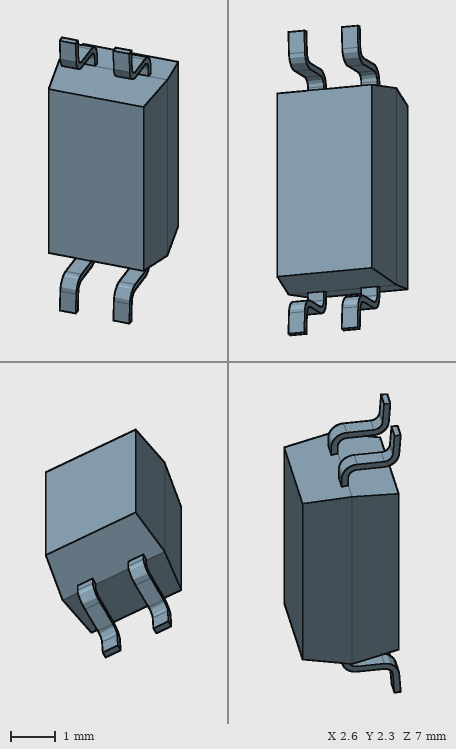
import cadquery as cq
import math

overall_depth = 2.3
overall_height = 7.0

housing_width = 2.6
housing_depth = 2.2
housing_height = 4.55
draft_angle = 8.0

lead_width = 0.385
lead_thickness = 0.15
lead_pitch = 1.29
inner_bend_radius = 0.2
arm_top_z = 2.82
toe_tilt = 4.0

half_depth = housing_depth / 2
draft_slope = math.tan(math.radians(draft_angle))
outer_bend_radius = inner_bend_radius + lead_thickness
arm_bottom_z = arm_top_z - lead_thickness
tilt = math.radians(toe_tilt)


def make_housing():
    """Two drafted halves joined at the parting plane, where the housing is largest."""
    parting = cq.Workplane("XZ").rect(housing_width, housing_height)
    front_half = parting.extrude(half_depth, taper=draft_angle)
    back_half = front_half.mirror("XZ")
    return front_half.union(back_half)


def on_circle(center, radius, angle):
    """Point at an angle (radians, from +Y toward +Z) on a circle in the YZ plane."""
    return center[0] + radius * math.cos(angle), center[1] + radius * math.sin(angle)


def make_upper_lead(x_center):
    """S-shaped strip that rises from the top of the housing, runs to -Y and turns up again."""
    root_front = (0, housing_height / 2)
    root_back = (lead_thickness, housing_height / 2 - lead_thickness * draft_slope)

    root_bend = (-inner_bend_radius, arm_top_z - outer_bend_radius)
    quarter = math.pi / 2
    root_mid = quarter / 2

    tip_back_z = overall_height / 2
    tip_front_z = tip_back_z - lead_thickness * math.sin(tilt)
    tip_front_y = half_depth - overall_depth
    tip_back_y = tip_front_y + lead_thickness * math.cos(tilt)

    toe_start = math.pi + tilt
    toe_end = 3 * quarter
    toe_mid = (toe_start + toe_end) / 2
    toe_bend_z = arm_bottom_z + outer_bend_radius
    toe_front_z = toe_bend_z - outer_bend_radius * math.sin(tilt)
    toe_front_y = tip_front_y + (tip_front_z - toe_front_z) * math.tan(tilt)
    toe_bend = (toe_front_y + outer_bend_radius * math.cos(tilt), toe_bend_z)

    profile = (
        cq.Workplane("YZ", origin=(x_center - lead_width / 2, 0, 0))
        .moveTo(*root_front)
        .lineTo(*on_circle(root_bend, inner_bend_radius, 0))
        .threePointArc(
            on_circle(root_bend, inner_bend_radius, root_mid),
            on_circle(root_bend, inner_bend_radius, quarter),
        )
        .lineTo(*on_circle(toe_bend, outer_bend_radius, toe_end))
        .threePointArc(
            on_circle(toe_bend, outer_bend_radius, toe_mid),
            on_circle(toe_bend, outer_bend_radius, toe_start),
        )
        .lineTo(tip_front_y, tip_front_z)
        .lineTo(tip_back_y, tip_back_z)
        .lineTo(*on_circle(toe_bend, inner_bend_radius, toe_start))
        .threePointArc(
            on_circle(toe_bend, inner_bend_radius, toe_mid),
            on_circle(toe_bend, inner_bend_radius, toe_end),
        )
        .lineTo(*on_circle(root_bend, outer_bend_radius, quarter))
        .threePointArc(
            on_circle(root_bend, outer_bend_radius, root_mid),
            on_circle(root_bend, outer_bend_radius, 0),
        )
        .lineTo(*root_back)
        .close()
    )
    return profile.extrude(lead_width)


housing = make_housing()

leads = []
for x_center in (-lead_pitch / 2, lead_pitch / 2):
    upper_lead = make_upper_lead(x_center)
    lower_lead = upper_lead.mirror("XY")
    leads.append(upper_lead.val())
    leads.append(lower_lead.val())

result = cq.Compound.makeCompound([housing.val(), *leads])